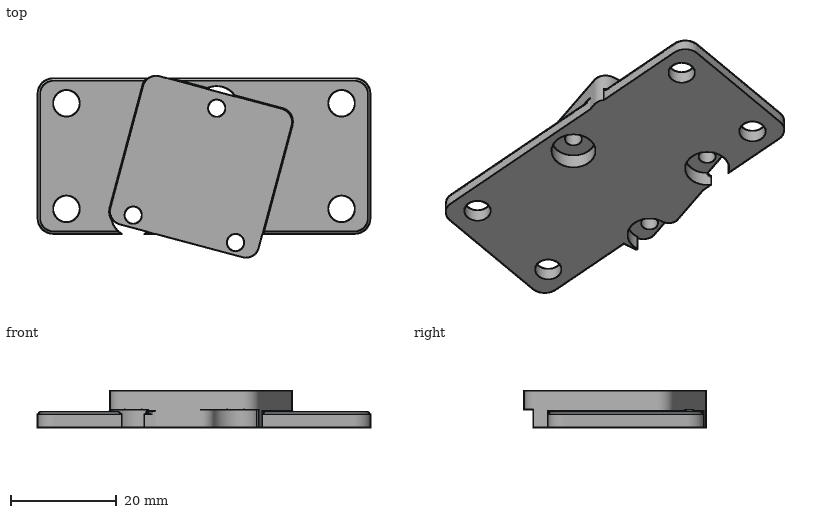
import cadquery as cq
import math

base_length = 63.0
base_width = 29.5
base_height = 3.0
base_corner_radius = 3.0
base_edge_chamfer = 0.5
mount_hole_diameter = 5.0
mount_spacing_x = 52.05
mount_spacing_y = 20.0

block_side = 29.05
block_height = 7.0
block_corner_radius = 2.5
block_tilt = -15.0
block_x = -0.55
block_y = -2.0
block_foot_size = 0.2

screw_hole_diameter = 3.2
head_pocket_diameter = 8.3
head_pocket_depth = 3.4
pocket_mouth_radius = 2.0
front_screw_x = 10.0
front_screw_y = -12.15
rear_screw_y = 11.45
screw_points = [
    (-front_screw_x, front_screw_y),
    (front_screw_x, front_screw_y),
    (0, rear_screw_y),
]


def make_base():
    """Rounded plate with a chamfered top rim and four mounting holes."""
    plate = (
        cq.Workplane("XY")
        .rect(base_length, base_width)
        .extrude(base_height)
        .edges("|Z")
        .fillet(base_corner_radius)
        .faces(">Z")
        .chamfer(base_edge_chamfer)
    )
    holes = (
        cq.Workplane("XY")
        .rect(mount_spacing_x, mount_spacing_y, forConstruction=True)
        .vertices()
        .circle(mount_hole_diameter / 2)
        .extrude(base_height)
    )
    return plate.cut(holes)


def place_on_base(shape):
    """Turn a shape from the block's axes into its place on the base."""
    return shape.rotate((0, 0, 0), (0, 0, 1), block_tilt).translate((block_x, block_y, 0))


def rounded_square(side, corner_radius, height):
    """Square prism with rounded vertical edges."""
    return (
        cq.Workplane("XY")
        .rect(side, side)
        .extrude(height)
        .edges("|Z")
        .fillet(corner_radius)
    )


def make_screw_holes():
    """Through holes for the screws."""
    return (
        cq.Workplane("XY")
        .pushPoints(screw_points)
        .circle(screw_hole_diameter / 2)
        .extrude(block_height)
    )


def make_head_pockets():
    """Round pockets for the screw heads, open at the bottom."""
    return (
        cq.Workplane("XY")
        .pushPoints(screw_points)
        .circle(head_pocket_diameter / 2)
        .extrude(head_pocket_depth)
    )


def make_block():
    """Block with its head pockets; the right front pocket opens to the corner."""
    block = rounded_square(block_side, block_corner_radius, block_height).cut(make_head_pockets())
    wall_gap = block_side / 2 + front_screw_y
    half_mouth = math.sqrt((head_pocket_diameter / 2) ** 2 - wall_gap**2)
    inner_edge = (front_screw_x - half_mouth, -block_side / 2, head_pocket_depth / 2)
    block = block.edges(cq.selectors.NearestToPointSelector(inner_edge)).fillet(pocket_mouth_radius)
    corner_opening = cq.Workplane("XY").box(
        block_side / 2 - front_screw_x,
        wall_gap,
        head_pocket_depth,
        centered=False,
    )
    return block.cut(corner_opening.translate((front_screw_x, -block_side / 2, 0)))


def make_block_foot():
    """Narrow bevel around the block where it stands on the base."""
    foot = (
        rounded_square(
            block_side + 2 * block_foot_size,
            block_corner_radius + block_foot_size,
            base_height + block_foot_size,
        )
        .faces(">Z")
        .chamfer(block_foot_size)
    )
    base_footprint = cq.Workplane("XY").rect(base_length, base_width).extrude(block_height)
    return place_on_base(foot).intersect(base_footprint)


body = make_base().union(make_block_foot())
body = body.cut(place_on_base(make_head_pockets()))
body = body.union(place_on_base(make_block()))
result = body.cut(place_on_base(make_screw_holes()))